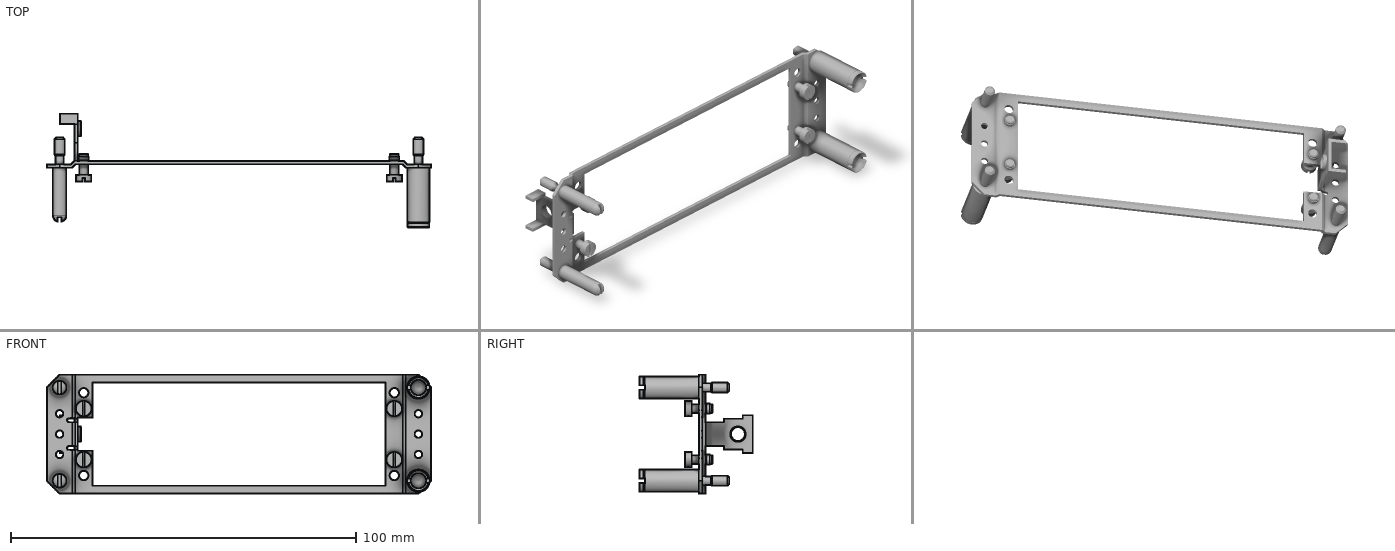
import cadquery as cq

PLATE_LENGTH = 111.4
PLATE_HEIGHT = 34.52
TOTAL_DEPTH = 33.0
SHEET = 1.0
END_OFFSET = 1.0
STEP_INNER_X = 47.8
STEP_OUTER_X = STEP_INNER_X + END_OFFSET
BEND_SHIFT = 0.4
CORNER_CHAMFER = 3.7
WINDOW_LENGTH = 84.8
WINDOW_HEIGHT = 29.8
FLANGE_FRONT_Y = -END_OFFSET - SHEET

END_HOLE_DIA = 2.08
END_HOLE_PITCH = 5.9
PANEL_HOLE_DIA = 2.65
PANEL_HOLE_Z = 12.0

POST_X = 52.0
POST_Z = 13.5
SCREW_X = 45.0
SCREW_Z = 7.4

TAB_FACE_X = -46.7
TAB_BACK_X = TAB_FACE_X - SHEET
TAB_TOP_Y = 13.7
TAB_NECK_HALF = 3.5
TAB_HEAD_HALF = 4.5
TAB_HEAD_LENGTH = 8.4
TAB_NOTCH_HALF = 4.8
WING_LENGTH = 3.0
WING_REACH_X = 5.25
COLLAR_DIA = 4.5
COLLAR_HOLE_DIA = 4.0
COLLAR_HEIGHT = 1.0
COLLAR_CHAMFER = 0.2
COLLAR_Y = TAB_TOP_Y - 4.35
RELIEF_LEFT_X = -49.8
RELIEF_WIDTH = 1.1

STUD_NECK_DIA = 2.5
STUD_DIA = 3.0
STUD_START_Y = 1.5
STUD_TIP_Y = 6.9
STUD_TIP_CHAMFER = 0.6
STUD_START_TAPER = 0.4

PIN_DIA = 4.0
PIN_TIP_Y = -17.7
PIN_SLOT_WIDTH = 1.1
PIN_SLOT_DEPTH = 1.35

SOCKET_DIA = 6.5
SOCKET_TIP_Y = TAB_TOP_Y - TOTAL_DEPTH
SOCKET_CHAMFER = 0.2
SOCKET_BORE_DIA = 4.46
SOCKET_MOUTH_DIA = 5.9
SOCKET_MOUTH_DEPTH = 0.7
SOCKET_BORE_DEPTH = 5.0
SOCKET_CONE_DEPTH = 1.3
SOCKET_SLOT_WIDTH = 1.2
SOCKET_SLOT_DEPTH = 1.7
GROOVE_OFFSET = 1.2
GROOVE_WIDTH = 0.4
GROOVE_DEPTH = 0.1

SCREW_SHANK_DIA = 2.65
SCREW_THREAD_DIA = 3.0
SCREW_HEAD_DIA = 4.5
SCREW_HEAD_TOP_Y = -6.0
SCREW_HEAD_HEIGHT = 2.0
SCREW_SLOT_WIDTH = 0.65
SCREW_SLOT_DEPTH = 1.0
SCREW_THREAD_START_Y = 0.2
SCREW_THREAD_END_Y = 1.2
SCREW_TIP_Y = 2.1
SCREW_TIP_CHAMFER = 0.3

OVERSIZE = 40.0


def block(x_range, y_range, z_range):
    """Box spanning the given (low, high) ranges."""
    ranges = (x_range, y_range, z_range)
    size = [high - low for low, high in ranges]
    corner = tuple(low for low, high in ranges)
    return cq.Workplane("XY").box(*size, centered=False).translate(corner)


def cylinder(dia, x, z, y_start, y_end):
    """Round bar along Y."""
    return cq.Workplane("XZ", origin=(x, y_start, z)).circle(dia / 2).extrude(y_start - y_end)


def turned(outline, x, z):
    """Revolve an outline of (radius, y) points, closed along the axis, about Y at (x, z)."""
    profile = cq.Workplane("XY").polyline(outline).close()
    return profile.revolve(360, (0, 0, 0), (0, 1, 0)).translate((x, 0, z))


def mirrored_pair(half_points):
    """Add the left-hand copies, so the outline runs on from right to left."""
    return half_points + [(-x, y) for x, y in reversed(half_points)]


def make_plate():
    end_x = PLATE_LENGTH / 2
    rear = [
        (end_x, -END_OFFSET),
        (STEP_OUTER_X, -END_OFFSET),
        (STEP_INNER_X, 0),
    ]
    front = [
        (end_x, FLANGE_FRONT_Y),
        (STEP_OUTER_X - BEND_SHIFT, FLANGE_FRONT_Y),
        (STEP_INNER_X - BEND_SHIFT, -SHEET),
    ]
    section = mirrored_pair(rear) + list(reversed(mirrored_pair(front)))
    sheet = cq.Workplane("XY").polyline(section).close().extrude(PLATE_HEIGHT / 2, both=True)
    outline = block((-end_x, end_x), (-OVERSIZE, OVERSIZE), (-PLATE_HEIGHT / 2, PLATE_HEIGHT / 2))
    plate = sheet.intersect(outline.edges("|Y").chamfer(CORNER_CHAMFER))

    window = cq.Workplane("XZ").rect(WINDOW_LENGTH, WINDOW_HEIGHT).extrude(OVERSIZE, both=True)
    end_holes = [(side * POST_X, k * END_HOLE_PITCH) for side in (-1, 1) for k in (-1, 0, 1)]
    panel_holes = [(side * SCREW_X, k * PANEL_HOLE_Z) for side in (-1, 1) for k in (-1, 1)]
    plate = plate.cut(window)
    for dia, places in ((END_HOLE_DIA, end_holes), (PANEL_HOLE_DIA, panel_holes)):
        for x, z in places:
            plate = plate.cut(cylinder(dia, x, z, -OVERSIZE, OVERSIZE))
    return plate


def cut_tab_clearance(plate):
    """Notch beside the tab, and a round-ended relief slot above and below its root."""
    notch = block((TAB_FACE_X, -WINDOW_LENGTH / 2), (-OVERSIZE, OVERSIZE), (-TAB_NOTCH_HALF, TAB_NOTCH_HALF))
    plate = plate.cut(notch)
    radius = RELIEF_WIDTH / 2
    for side in (-1, 1):
        z = side * (TAB_NECK_HALF + radius)
        start_x = RELIEF_LEFT_X + radius
        plate = plate.cut(cylinder(RELIEF_WIDTH, start_x, z, -OVERSIZE, OVERSIZE))
        plate = plate.cut(block((start_x, TAB_FACE_X), (-OVERSIZE, OVERSIZE), (z - radius, z + radius)))
    return plate


def make_tab():
    thickness = (TAB_BACK_X, TAB_FACE_X)
    neck = block(thickness, (-SHEET, TAB_TOP_Y), (-TAB_NECK_HALF, TAB_NECK_HALF))
    head = block(thickness, (TAB_TOP_Y - TAB_HEAD_LENGTH, TAB_TOP_Y), (-TAB_HEAD_HALF, TAB_HEAD_HALF))
    tab = neck.union(head)
    wing_outer = TAB_HEAD_HALF + SHEET
    for z_range in ((TAB_HEAD_HALF, wing_outer), (-wing_outer, -TAB_HEAD_HALF)):
        wing = block((TAB_FACE_X - WING_REACH_X, TAB_FACE_X), (TAB_TOP_Y - WING_LENGTH, TAB_TOP_Y), z_range)
        tab = tab.union(wing)
    collar_plane = cq.Workplane("YZ", origin=(TAB_BACK_X, COLLAR_Y, 0))
    collar = collar_plane.circle(COLLAR_DIA / 2).extrude(SHEET + COLLAR_HEIGHT)
    tab = tab.union(collar.faces(">X").edges().chamfer(COLLAR_CHAMFER))
    return tab.cut(collar_plane.circle(COLLAR_HOLE_DIA / 2).extrude(SHEET + COLLAR_HEIGHT))


def make_stud(x, z):
    """Necked stud behind an end flange, with a chamfered thread at its rear end."""
    neck = STUD_NECK_DIA / 2
    thread = STUD_DIA / 2
    return turned(
        [
            (0, FLANGE_FRONT_Y),
            (neck, FLANGE_FRONT_Y),
            (neck, STUD_START_Y),
            (thread, STUD_START_Y + STUD_START_TAPER),
            (thread, STUD_TIP_Y - STUD_TIP_CHAMFER),
            (thread - STUD_TIP_CHAMFER, STUD_TIP_Y),
            (0, STUD_TIP_Y),
        ],
        x,
        z,
    )


def make_pin(x, z):
    """Guide pin with a hemispherical, slotted front end."""
    radius = PIN_DIA / 2
    dome_y = PIN_TIP_Y + radius
    profile = (
        cq.Workplane("XY")
        .moveTo(0, FLANGE_FRONT_Y)
        .lineTo(radius, FLANGE_FRONT_Y)
        .lineTo(radius, dome_y)
        .tangentArcPoint((0, PIN_TIP_Y), relative=False)
        .close()
    )
    pin = profile.revolve(360, (0, 0, 0), (0, 1, 0)).translate((x, 0, z))
    slot = block(
        (x - PIN_SLOT_WIDTH / 2, x + PIN_SLOT_WIDTH / 2),
        (PIN_TIP_Y, PIN_TIP_Y + PIN_SLOT_DEPTH),
        (z - PIN_DIA, z + PIN_DIA),
    )
    return pin.cut(slot).union(make_stud(x, z))


def make_socket(x, z):
    """Guide socket: drilled, countersunk and cross-slotted sleeve with a fine groove."""
    radius = SOCKET_DIA / 2
    bore = SOCKET_BORE_DIA / 2
    bore_end_y = SOCKET_TIP_Y + SOCKET_BORE_DEPTH
    groove_y = SOCKET_TIP_Y + GROOVE_OFFSET
    socket = turned(
        [
            (0, FLANGE_FRONT_Y),
            (radius, FLANGE_FRONT_Y),
            (radius, groove_y + GROOVE_WIDTH),
            (radius - GROOVE_DEPTH, groove_y + GROOVE_WIDTH),
            (radius - GROOVE_DEPTH, groove_y),
            (radius, groove_y),
            (radius, SOCKET_TIP_Y + SOCKET_CHAMFER),
            (radius - SOCKET_CHAMFER, SOCKET_TIP_Y),
            (SOCKET_MOUTH_DIA / 2, SOCKET_TIP_Y),
            (bore, SOCKET_TIP_Y + SOCKET_MOUTH_DEPTH),
            (bore, bore_end_y),
            (0, bore_end_y + SOCKET_CONE_DEPTH),
        ],
        x,
        z,
    )
    slot = block(
        (x - SOCKET_DIA, x + SOCKET_DIA),
        (SOCKET_TIP_Y, SOCKET_TIP_Y + SOCKET_SLOT_DEPTH),
        (z - SOCKET_SLOT_WIDTH / 2, z + SOCKET_SLOT_WIDTH / 2),
    )
    return socket.cut(slot).union(make_stud(x, z))


def make_screw(x, z):
    """Slotted cheese-head screw standing in the panel, its threaded end just behind it."""
    head = SCREW_HEAD_DIA / 2
    shank = SCREW_SHANK_DIA / 2
    thread = SCREW_THREAD_DIA / 2
    head_under_y = SCREW_HEAD_TOP_Y + SCREW_HEAD_HEIGHT
    screw = turned(
        [
            (0, SCREW_HEAD_TOP_Y),
            (head, SCREW_HEAD_TOP_Y),
            (head, head_under_y),
            (shank, head_under_y),
            (shank, SCREW_THREAD_START_Y),
            (thread, SCREW_THREAD_START_Y),
            (thread, SCREW_THREAD_END_Y),
            (shank, SCREW_THREAD_END_Y),
            (shank, SCREW_TIP_Y - SCREW_TIP_CHAMFER),
            (shank - SCREW_TIP_CHAMFER, SCREW_TIP_Y),
            (0, SCREW_TIP_Y),
        ],
        x,
        z,
    )
    slot = block(
        (x - SCREW_SLOT_WIDTH / 2, x + SCREW_SLOT_WIDTH / 2),
        (SCREW_HEAD_TOP_Y, SCREW_HEAD_TOP_Y + SCREW_SLOT_DEPTH),
        (z - SCREW_HEAD_DIA, z + SCREW_HEAD_DIA),
    )
    return screw.cut(slot)


result = cut_tab_clearance(make_plate()).union(make_tab())
for level in (-1, 1):
    result = result.union(make_pin(-POST_X, level * POST_Z))
    result = result.union(make_socket(POST_X, level * POST_Z))
    for side in (-1, 1):
        result = result.union(make_screw(side * SCREW_X, level * SCREW_Z))